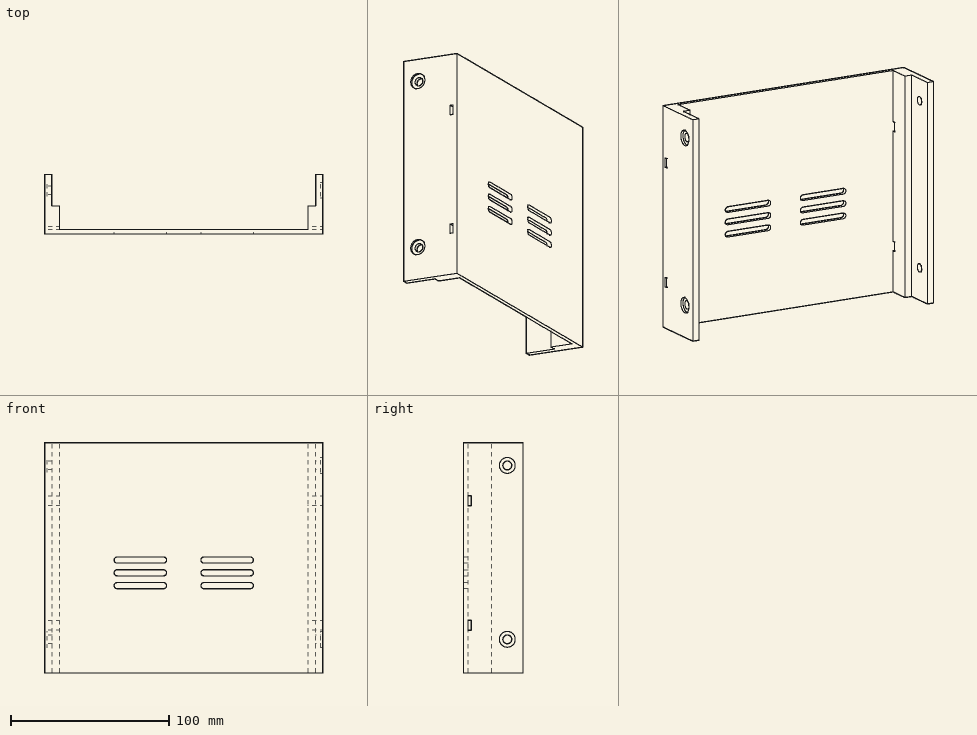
import cadquery as cq

width = 176.0
depth = 37.8
height = 145.7

panel_thickness = 3.0
wall_thickness = 9.5
lip_thickness = 4.5
step_depth = 18.0

vent_length = 33.0
vent_height = 3.7
vent_pitch = 8.1
vent_rows = 3
vent_offset_x = 27.5
vent_middle_z = 63.4

hole_diameter = 5.5
bore_diameter = 10.0
bore_depth = 1.5
hole_y = depth - 10.0
lower_hole_z = 21.3
hole_spacing = 110.0

side_slot_width = 2.0
side_slot_height = 6.2
lower_side_slot_z = 30.3
side_slot_spacing = 78.7


def make_body():
    """Front panel and two stepped side walls, extruded over the full height."""
    outer_x = width / 2
    lip_x = outer_x - lip_thickness
    wall_x = outer_x - wall_thickness
    right_half = [
        (outer_x, 0),
        (outer_x, depth),
        (lip_x, depth),
        (lip_x, step_depth),
        (wall_x, step_depth),
        (wall_x, panel_thickness),
    ]
    left_half = [(-x, y) for x, y in reversed(right_half)]
    return cq.Workplane("XY").polyline(right_half + left_half).close().extrude(height)


def make_vents():
    """Two columns of round-ended slots."""
    rows = [(row - (vent_rows - 1) / 2) * vent_pitch for row in range(vent_rows)]
    centres = [
        (side * vent_offset_x, vent_middle_z + row)
        for side in (-1, 1)
        for row in rows
    ]
    return (
        cq.Workplane("XZ")
        .pushPoints(centres)
        .slot2D(vent_length, vent_height)
        .extrude(-panel_thickness)
    )


def make_screw_holes():
    """Through holes along X with a shallow counterbore on both outer faces."""
    centres = [(hole_y, lower_hole_z), (hole_y, lower_hole_z + hole_spacing)]
    left_face = cq.Workplane("YZ", origin=(-width / 2, 0, 0)).pushPoints(centres)
    right_face = cq.Workplane("YZ", origin=(width / 2, 0, 0)).pushPoints(centres)
    holes = left_face.circle(hole_diameter / 2).extrude(width)
    left_bores = left_face.circle(bore_diameter / 2).extrude(bore_depth)
    right_bores = right_face.circle(bore_diameter / 2).extrude(-bore_depth)
    return holes.union(left_bores).union(right_bores)


def make_side_slots():
    """Rectangular slots along X, flush with the back of the front panel."""
    slot_y = panel_thickness + side_slot_width / 2
    centres = [
        (slot_y, lower_side_slot_z),
        (slot_y, lower_side_slot_z + side_slot_spacing),
    ]
    return (
        cq.Workplane("YZ", origin=(-width / 2, 0, 0))
        .pushPoints(centres)
        .rect(side_slot_width, side_slot_height)
        .extrude(width)
    )


result = make_body().cut(make_vents()).cut(make_screw_holes()).cut(make_side_slots())